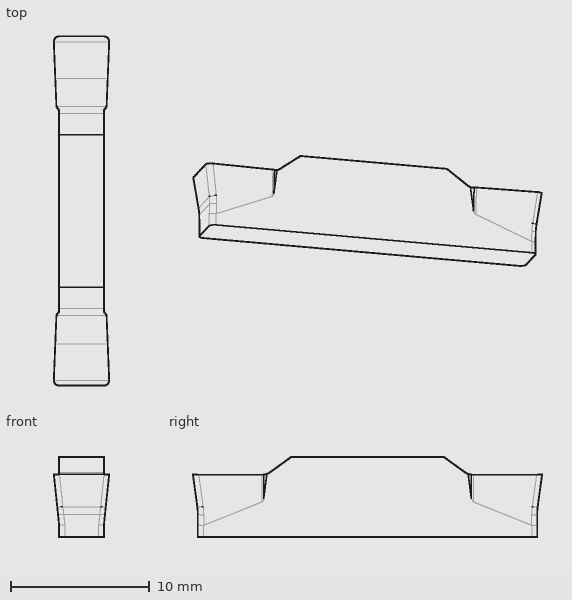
import cadquery as cq
import math

length = 25.15
height = 5.78
body_width = 3.25
head_width = 4.0

tip_height = 4.53
seat_drop = 0.02
seat_height = tip_height - seat_drop
land_width = 0.4
strip_inner_y = 9.55
strip_bulge = 0.008
crown_half_length = 5.48
ramp_angle = math.radians(36)
ramp_fillet = 0.85
end_relief = math.radians(7.8)
relief_bottom = 2.2
blend_bottom = 1.65

head_draft = 0.1
head_back_taper = 0.04
widest_inset = 0.48
shoulder_inset = 4.95
shoulder_round = 0.15
shoulder_drop = 0.03
shoulder_ramp = 0.23
corner_radius = 0.4

head_loft_top = tip_height + 0.25
head_loft_bottom = 0.5

tip_y = length / 2
land_y = tip_y - land_width
strip_middle_y = (land_y + strip_inner_y) / 2
half_body = body_width / 2
corner_zone_x = half_body - 0.03
corner_zone_y = tip_y - 0.5
corner_zone_top = tip_height - 0.25
ramp_foot_y = crown_half_length + (height - seat_height) / math.tan(ramp_angle)
relief_bottom_y = tip_y - (tip_height - relief_bottom) * math.tan(end_relief)
base_y = relief_bottom_y - (relief_bottom - blend_bottom) * math.tan(end_relief / 2)


def make_side_profile():
    """Sloped crown and relieved ends, extruded across the full width."""
    half = (
        cq.Workplane("YZ")
        .moveTo(0, 0)
        .lineTo(base_y, 0)
        .lineTo(base_y, blend_bottom)
        .tangentArcPoint((relief_bottom_y, relief_bottom), relative=False)
        .lineTo(tip_y, tip_height)
        .threePointArc((tip_y - land_width / 2, seat_height + seat_drop / 4), (land_y, seat_height))
        .threePointArc((strip_middle_y, seat_height + strip_bulge), (strip_inner_y, seat_height))
        .lineTo(ramp_foot_y, seat_height)
        .lineTo(crown_half_length, height)
        .lineTo(0, height)
        .close()
        .extrude(head_width, both=True)
    )
    foot = cq.selectors.NearestToPointSelector((0, ramp_foot_y, seat_height))
    half = half.edges(foot).fillet(ramp_fillet)
    return half.union(half.mirror("XZ"))


def head_section(z):
    """Plan section of the right half of the +Y head, running past the tip for trimming."""
    widest_y = tip_y - widest_inset
    shoulder_y = tip_y - shoulder_inset
    round_end_y = shoulder_y - shoulder_round
    overrun_y = tip_y + 0.25
    inward = head_draft * (tip_height - z)
    shoulder_x = head_width / 2 - head_back_taper * (widest_y - shoulder_y) - inward
    overrun_x = head_width / 2 + head_back_taper * (overrun_y - widest_y) - inward
    section = (
        cq.Workplane("XY", origin=(0, 0, z))
        .moveTo(0, overrun_y)
        .lineTo(overrun_x, overrun_y)
        .lineTo(shoulder_x, shoulder_y)
        .tangentArcPoint((shoulder_x - shoulder_drop, round_end_y), relative=False)
        .lineTo(half_body - inward, round_end_y - shoulder_ramp)
        .lineTo(0, round_end_y - shoulder_ramp)
        .close()
    )
    return section.val()


def make_head():
    """Drafted head at the +Y end; its flanks sink into the body towards the base."""
    sections = [head_section(z) for z in (head_loft_bottom, head_loft_top)]
    half = cq.Workplane(cq.Solid.makeLoft(sections, True))
    return half.union(half.mirror("YZ"))


def round_end_corners(part):
    """Round the upright corners at both tips."""
    for side in (-1, 1):
        for end in (-1, 1):
            inner = (side * corner_zone_x, end * corner_zone_y, 0)
            outer = (side * head_width, end * length, corner_zone_top)
            part = part.edges(cq.selectors.BoxSelector(inner, outer)).fillet(corner_radius)
    return part


body = cq.Workplane().box(body_width, length, height, centered=(True, True, False))
head = make_head()
blank = body.union(head).union(head.mirror("XZ"))
result = round_end_corners(blank.intersect(make_side_profile()))